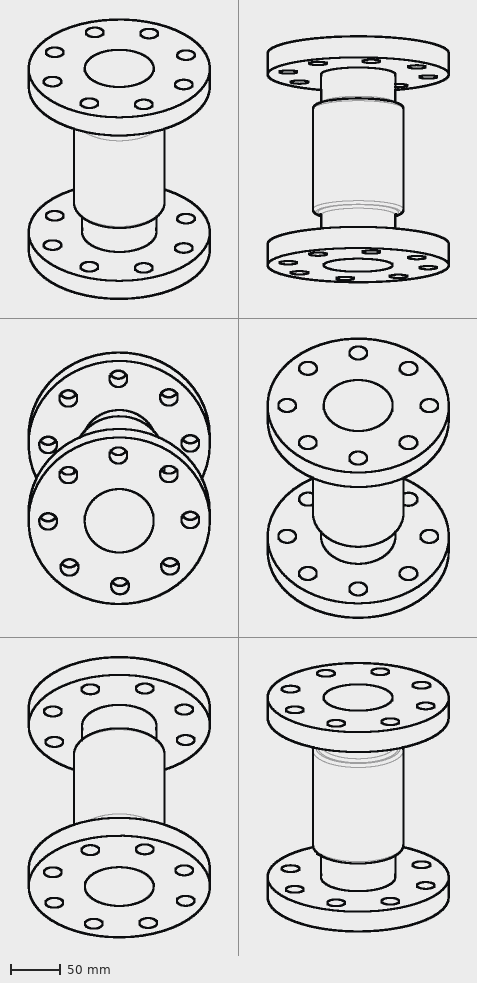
import cadquery as cq

length = 220.0
flange_diameter = 185.0
flange_thickness = 22.0
neck_diameter = 76.0
body_diameter = 92.6
bore_diameter = 70.5

body_length = 110.0
shoulder_radius = 3.0

bolt_count = 8
bolt_circle_diameter = 145.0
bolt_hole_diameter = 18.0

body_bottom = (length - body_length) / 2
flange_bottoms = (0, length - flange_thickness)


def cylinder(diameter, height, bottom):
    """Solid cylinder on the Z axis, starting at the given height."""
    return cq.Workplane("XY", origin=(0, 0, bottom)).circle(diameter / 2).extrude(height)


def rounded_tube():
    """Neck with a wider central body, whose shoulders are rounded at the rim and the root."""
    neck = cylinder(neck_diameter, length, 0)
    body = cylinder(body_diameter, body_length, body_bottom)
    return neck.union(body).edges("%CIRCLE").edges("not(<Z or >Z)").fillet(shoulder_radius)


def bolt_holes():
    """Holes through both flanges, straddling the X and Y axes."""
    half_pitch = 180 / bolt_count
    centers = cq.Workplane("XY").polarArray(bolt_circle_diameter / 2, half_pitch, 360, bolt_count)
    return centers.circle(bolt_hole_diameter / 2).extrude(length)


result = rounded_tube()
for flange_bottom in flange_bottoms:
    result = result.union(cylinder(flange_diameter, flange_thickness, flange_bottom))
result = result.cut(cylinder(bore_diameter, length, 0)).cut(bolt_holes())